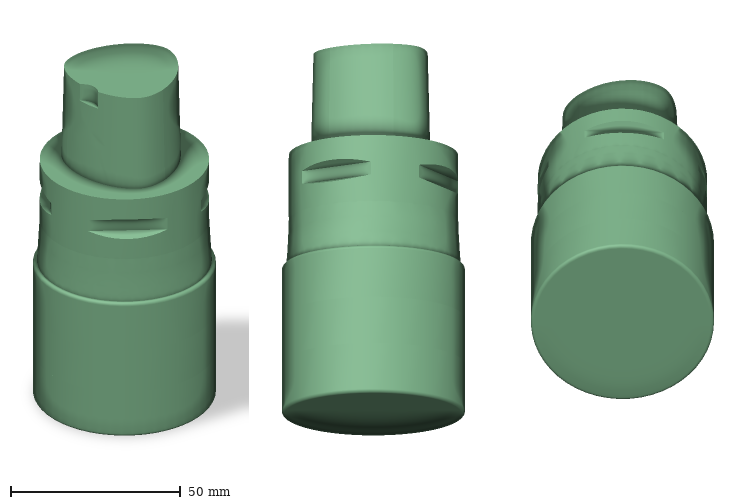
import cadquery as cq
import math

SHANK_LENGTH = 30.0
FLANGE_HEIGHT = 20.0

NECK_HEIGHT = 13.8
TOP_SLEEVE_HEIGHT = 15.8
MIDDLE_SLEEVE_HEIGHT = 14.0
BOTTOM_SLEEVE_HEIGHT = 15.0
SLEEVE_DIAMETER = 54.01
SLEEVE_EDGE_FILLET = 1.0

BOTTOM_JOINT_Z = BOTTOM_SLEEVE_HEIGHT
MIDDLE_JOINT_Z = BOTTOM_JOINT_Z + MIDDLE_SLEEVE_HEIGHT
NECK_BOTTOM_Z = MIDDLE_JOINT_Z + TOP_SLEEVE_HEIGHT
FLANGE_BOTTOM_Z = NECK_BOTTOM_Z + NECK_HEIGHT
SHOULDER_Z = FLANGE_BOTTOM_Z + FLANGE_HEIGHT
SHANK_TOP_Z = SHOULDER_Z + SHANK_LENGTH

FLANGE_DIAMETER = 50.0
NECK_BOTTOM_DIAMETER = 51.6

SHANK_BASE_DIAMETER = 35.2
SHANK_TAPER = 1 / 20
LOBE_ECCENTRICITY = 1.2
LOBE_COUNT = 3
FLANK_HALF_ANGLE = 23.3
SECTOR_ANGLE = 360 / LOBE_COUNT
FIRST_FLANK_ANGLE = -90.0
CURVE_STEPS = 12

NOTCH_RADIUS = 4.75
NOTCH_DEPTH = 5.5
NOTCH_INNER_Y = -13.8

GROOVE_COUNT = 4
GROOVE_FIRST_ANGLE = 45.0
GROOVE_FLOOR_DISTANCE = 22.1
GROOVE_FLOOR_HEIGHT = 3.8
GROOVE_WALL_ANGLE = 25.5
GROOVE_CENTER_Z = SHOULDER_Z - FLANGE_HEIGHT / 2
CUT_CLEARANCE = 1.0


def lobe_point(angle_deg, width_radius):
    """Point of the constant-width curve whose outward normal points along angle_deg."""
    normal = math.radians(angle_deg)
    lobe_phase = LOBE_COUNT * (normal - math.radians(FIRST_FLANK_ANGLE))
    support = width_radius - LOBE_ECCENTRICITY * math.cos(lobe_phase)
    slide = LOBE_COUNT * LOBE_ECCENTRICITY * math.sin(lobe_phase)
    x = support * math.cos(normal) - slide * math.sin(normal)
    y = support * math.sin(normal) + slide * math.cos(normal)
    return x, y


def travel_direction(normal_angle):
    """Unit tangent of the lobed curve, a quarter turn ahead of its normal."""
    normal = math.radians(normal_angle)
    return cq.Vector(-math.sin(normal), math.cos(normal), 0)


def lobe_edge(start_angle, end_angle, width_radius, z):
    """Smooth stretch of the lobed curve between two normal directions."""
    step = (end_angle - start_angle) / CURVE_STEPS
    angles = [start_angle + index * step for index in range(CURVE_STEPS + 1)]
    points = [cq.Vector(*lobe_point(angle, width_radius), z) for angle in angles]
    tangents = [travel_direction(angle) for angle in (start_angle, end_angle)]
    return cq.Edge.makeSpline(points, tangents=tangents)


def lobe_wire(diameter, z):
    """Closed outline of alternating flank and lobe-tip curves."""
    edges = []
    for sector in range(LOBE_COUNT):
        flank_middle = FIRST_FLANK_ANGLE + sector * SECTOR_ANGLE
        flank_start = flank_middle - FLANK_HALF_ANGLE
        flank_end = flank_middle + FLANK_HALF_ANGLE
        edges.append(lobe_edge(flank_start, flank_end, diameter / 2, z))
        edges.append(lobe_edge(flank_end, flank_start + SECTOR_ANGLE, diameter / 2, z))
    return cq.Wire.assembleEdges(edges)


def make_shank():
    top_diameter = SHANK_BASE_DIAMETER - SHANK_LENGTH * SHANK_TAPER
    base = lobe_wire(SHANK_BASE_DIAMETER, SHOULDER_Z)
    top = lobe_wire(top_diameter, SHANK_TOP_Z)
    return cq.Workplane(cq.Solid.makeLoft([base, top], True))


def make_key_notch():
    return (
        cq.Workplane("XY", origin=(0, NOTCH_INNER_Y - NOTCH_RADIUS, SHANK_TOP_Z - NOTCH_DEPTH))
        .circle(NOTCH_RADIUS)
        .extrude(NOTCH_DEPTH + CUT_CLEARANCE)
    )


def make_flange():
    return (
        cq.Workplane("XY", origin=(0, 0, FLANGE_BOTTOM_Z))
        .circle(FLANGE_DIAMETER / 2)
        .extrude(FLANGE_HEIGHT)
    )


def make_gripper_groove(angle):
    """Straight flat-floored groove that flares outward, facing the given angle around Z."""
    outer = FLANGE_DIAMETER / 2 + CUT_CLEARANCE
    flare = (outer - GROOVE_FLOOR_DISTANCE) * math.tan(math.radians(GROOVE_WALL_ANGLE))
    half_floor = GROOVE_FLOOR_HEIGHT / 2
    return (
        cq.Workplane("XZ", origin=(0, 0, GROOVE_CENTER_Z))
        .moveTo(GROOVE_FLOOR_DISTANCE, -half_floor)
        .lineTo(outer, -half_floor - flare)
        .lineTo(outer, half_floor + flare)
        .lineTo(GROOVE_FLOOR_DISTANCE, half_floor)
        .close()
        .extrude(FLANGE_DIAMETER / 2, both=True)
        .rotate((0, 0, 0), (0, 0, 1), angle)
    )


def make_shank_holder():
    holder = make_flange().union(make_shank()).cut(make_key_notch())
    for index in range(GROOVE_COUNT):
        holder = holder.cut(make_gripper_groove(GROOVE_FIRST_ANGLE + index * 360 / GROOVE_COUNT))
    return holder


def make_sleeve(bottom_z, height):
    return cq.Workplane("XY", origin=(0, 0, bottom_z)).circle(SLEEVE_DIAMETER / 2).extrude(height)


def make_neck():
    """Cone that narrows from the top sleeve up to the flange."""
    return (
        cq.Workplane("XZ")
        .moveTo(0, NECK_BOTTOM_Z)
        .lineTo(NECK_BOTTOM_DIAMETER / 2, NECK_BOTTOM_Z)
        .lineTo(FLANGE_DIAMETER / 2, FLANGE_BOTTOM_Z)
        .lineTo(0, FLANGE_BOTTOM_Z)
        .close()
        .revolve(360, (0, 0, 0), (0, 1, 0))
    )


def make_necked_sleeve():
    """Top sleeve with a rounded upper rim, in one piece with the neck above it."""
    sleeve = make_sleeve(MIDDLE_JOINT_Z, TOP_SLEEVE_HEIGHT).faces(">Z").edges().fillet(SLEEVE_EDGE_FILLET)
    return sleeve.union(make_neck())


def make_end_sleeve():
    """Bottom sleeve with a rounded lower rim."""
    return make_sleeve(0, BOTTOM_SLEEVE_HEIGHT).faces("<Z").edges().fillet(SLEEVE_EDGE_FILLET)


shank_holder = make_shank_holder()
necked_sleeve = make_necked_sleeve()
middle_sleeve = make_sleeve(BOTTOM_JOINT_Z, MIDDLE_SLEEVE_HEIGHT)
end_sleeve = make_end_sleeve()

result = cq.Compound.makeCompound(
    [shank_holder.val(), necked_sleeve.val(), middle_sleeve.val(), end_sleeve.val()]
)